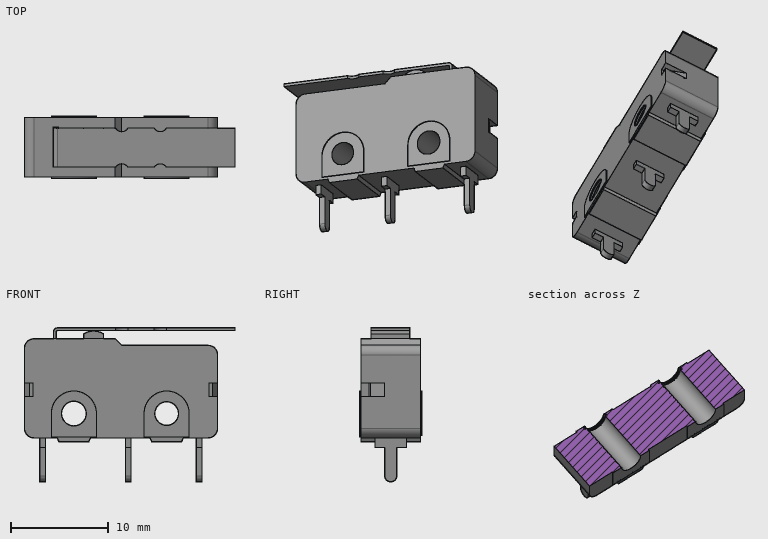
import cadquery as cq
import math

HOUSING_LENGTH = 19.8
HOUSING_DEPTH = 6.13
HOUSING_HEIGHT = 10.17
SHOULDER_DROP = 0.67
SHOULDER_X = 9.3
CORNER_RADIUS = 1.0
HALF_DEPTH = HOUSING_DEPTH / 2

FIRST_HOLE_X = 5.08
HOLE_SPACING = 9.5
HOLE_Z = 2.5
FIRST_HOLE_DIAMETER = 2.5
SECOND_HOLE_DIAMETER = 2.4
BOSS_RADIUS = 2.31
GROOVE_WIDTH = 0.22
GROOVE_EXTRA_RADIUS = 0.22
BOSS_HEIGHT = 0.13
FRONT_BOSS_BOTTOM = 0.13
BACK_BOSS_BOTTOM = 0.25
FOOT_HEIGHT = 0.39
FOOT_TOP_HALF_WIDTH = 1.7
FOOT_BOTTOM_HALF_WIDTH = 1.53

NOTCH_BOTTOM = 4.23
NOTCH_HEIGHT = 1.38
NOTCH_DEPTH = 0.86
RAMP_DEPTH = 0.55
RAMP_FRONT_Y = -2.25
LIP_LENGTH = 0.2
RAMP_BACK_Y = -0.63

LEVER_END_X = 21.6
LEVER_TOP = 11.3
LEVER_THICKNESS = 0.3
LEVER_WIDTH = 4.0
LEVER_CENTER_Y = -0.05
LEVER_FRONT = LEVER_CENTER_Y - LEVER_WIDTH / 2
LEVER_BACK = LEVER_CENTER_Y + LEVER_WIDTH / 2
LEVER_LEFT = 2.98
LEVER_BEND_RADIUS = 0.43
EDGE_NOTCHES_X = (9.98, 13.93)
EDGE_NOTCH_WIDTH = 1.25
EDGE_NOTCH_DEPTH = 0.35

SLOT_LEFT = 2.92
SLOT_RIGHT = 3.5
SLOT_DEPTH = 0.65
SLOT_CLEARANCE = 0.13

PLUNGER_X = 7.1
PLUNGER_LENGTH = 2.05
PLUNGER_GAP = 0.02
PLUNGER_TOP = LEVER_TOP - LEVER_THICKNESS - PLUNGER_GAP
PLUNGER_TOP_RADIUS = 3.7 / 2

TERMINAL_CENTERS_X = (1.88, 10.65, 17.9)
TERMINAL_THICKNESS = 0.6
TERMINAL_TIP = -4.5
TERMINAL_SHOULDER = -1.0
TERMINAL_SHOULDER_WIDTH = 3.25
TERMINAL_WIDTH = 1.25

OVERLAP = 0.22


def extrude_along_y(outline, y_front, y_back):
    """Extrude an outline drawn in X and Z between two Y planes."""
    return outline.extrude(y_front - y_back).translate((0, y_front, 0))


def make_housing():
    shoulder_z = HOUSING_HEIGHT - SHOULDER_DROP
    outline = cq.Workplane("XZ").polyline([
        (0, 0),
        (HOUSING_LENGTH, 0),
        (HOUSING_LENGTH, shoulder_z),
        (SHOULDER_X + SHOULDER_DROP, shoulder_z),
        (SHOULDER_X, HOUSING_HEIGHT),
        (0, HOUSING_HEIGHT),
    ]).close()
    block = extrude_along_y(outline, -HALF_DEPTH, HALF_DEPTH)
    end_corners = block.edges("|Y and (<X or >X)")
    return end_corners.fillet(CORNER_RADIUS)


def make_boss(x, bottom, y_front, y_back):
    outline = (
        cq.Workplane("XZ")
        .moveTo(x - BOSS_RADIUS, bottom)
        .lineTo(x + BOSS_RADIUS, bottom)
        .lineTo(x + BOSS_RADIUS, HOLE_Z)
        .threePointArc((x, HOLE_Z + BOSS_RADIUS), (x - BOSS_RADIUS, HOLE_Z))
        .close()
    )
    return extrude_along_y(outline, y_front, y_back)


def make_foot(x):
    outline = cq.Workplane("XZ").polyline([
        (x - FOOT_TOP_HALF_WIDTH, OVERLAP),
        (x - FOOT_TOP_HALF_WIDTH, 0),
        (x - FOOT_BOTTOM_HALF_WIDTH, -FOOT_HEIGHT),
        (x + FOOT_BOTTOM_HALF_WIDTH, -FOOT_HEIGHT),
        (x + FOOT_TOP_HALF_WIDTH, 0),
        (x + FOOT_TOP_HALF_WIDTH, OVERLAP),
    ]).close()
    return extrude_along_y(outline, -HALF_DEPTH, HALF_DEPTH)


def make_snap_notch():
    """Notch in the left end: a ramp from the back, then a deeper step open to the front."""
    step_y = RAMP_FRONT_Y + LIP_LENGTH
    return (
        cq.Workplane("XY", origin=(0, 0, NOTCH_BOTTOM))
        .polyline([
            (0, RAMP_BACK_Y),
            (RAMP_DEPTH, RAMP_FRONT_Y),
            (RAMP_DEPTH, step_y),
            (NOTCH_DEPTH, step_y),
            (NOTCH_DEPTH, -HALF_DEPTH),
            (0, -HALF_DEPTH),
        ])
        .close()
        .extrude(NOTCH_HEIGHT)
    )


def make_lever_slot():
    slot_length = SLOT_RIGHT - SLOT_LEFT
    slot_width = LEVER_WIDTH + SLOT_CLEARANCE
    slot = cq.Workplane("XY").box(slot_length, slot_width, SLOT_DEPTH, centered=False)
    return slot.translate((SLOT_LEFT, LEVER_FRONT, HOUSING_HEIGHT - SLOT_DEPTH))


def make_lever():
    leg_bottom = HOUSING_HEIGHT - SLOT_DEPTH - OVERLAP
    underside = LEVER_TOP - LEVER_THICKNESS
    leg_right = LEVER_LEFT + LEVER_THICKNESS
    inner_radius = LEVER_BEND_RADIUS - LEVER_THICKNESS
    outline = (
        cq.Workplane("XZ")
        .moveTo(LEVER_LEFT, leg_bottom)
        .lineTo(LEVER_LEFT, LEVER_TOP - LEVER_BEND_RADIUS)
        .radiusArc((LEVER_LEFT + LEVER_BEND_RADIUS, LEVER_TOP), LEVER_BEND_RADIUS)
        .lineTo(LEVER_END_X, LEVER_TOP)
        .lineTo(LEVER_END_X, underside)
        .lineTo(leg_right + inner_radius, underside)
        .radiusArc((leg_right, underside - inner_radius), -inner_radius)
        .lineTo(leg_right, leg_bottom)
        .close()
    )
    lever = extrude_along_y(outline, LEVER_FRONT, LEVER_BACK)

    half_chord = EDGE_NOTCH_WIDTH / 2
    radius = (half_chord ** 2 + EDGE_NOTCH_DEPTH ** 2) / (2 * EDGE_NOTCH_DEPTH)
    center_overhang = radius - EDGE_NOTCH_DEPTH
    circle_rows_y = (LEVER_FRONT - center_overhang, LEVER_BACK + center_overhang)
    notch_points = [(x, y) for x in EDGE_NOTCHES_X for y in circle_rows_y]
    notches = (
        cq.Workplane("XY", origin=(0, 0, underside))
        .pushPoints(notch_points)
        .circle(radius)
        .extrude(LEVER_THICKNESS)
    )
    return lever.cut(notches)


def make_plunger():
    half_length = PLUNGER_LENGTH / 2
    crown_height = PLUNGER_TOP_RADIUS - math.sqrt(PLUNGER_TOP_RADIUS ** 2 - half_length ** 2)
    left = PLUNGER_X - half_length
    right = PLUNGER_X + half_length
    side_top = PLUNGER_TOP - crown_height
    outline = (
        cq.Workplane("XZ")
        .moveTo(left, HOUSING_HEIGHT - OVERLAP)
        .lineTo(left, side_top)
        .threePointArc((PLUNGER_X, PLUNGER_TOP), (right, side_top))
        .lineTo(right, HOUSING_HEIGHT - OVERLAP)
        .close()
    )
    return extrude_along_y(outline, LEVER_FRONT, LEVER_BACK)


def make_terminal(x):
    half_shoulder = TERMINAL_SHOULDER_WIDTH / 2
    half_width = TERMINAL_WIDTH / 2
    round_start = TERMINAL_TIP + half_width
    outline = (
        cq.Workplane("YZ", origin=(x - TERMINAL_THICKNESS / 2, 0, 0))
        .moveTo(-half_shoulder, OVERLAP)
        .lineTo(-half_shoulder, TERMINAL_SHOULDER)
        .lineTo(-half_width, TERMINAL_SHOULDER)
        .lineTo(-half_width, round_start)
        .threePointArc((0, TERMINAL_TIP), (half_width, round_start))
        .lineTo(half_width, TERMINAL_SHOULDER)
        .lineTo(half_shoulder, TERMINAL_SHOULDER)
        .lineTo(half_shoulder, OVERLAP)
        .close()
    )
    return outline.extrude(TERMINAL_THICKNESS)


def make_hole(x, diameter):
    """Through hole with a shallow annular groove just below the front boss."""
    reach = HALF_DEPTH + BOSS_HEIGHT
    radius = diameter / 2
    bore_outline = cq.Workplane("XZ").center(x, HOLE_Z).circle(radius)
    bore = extrude_along_y(bore_outline, -reach, reach)
    groove_outline = cq.Workplane("XZ").center(x, HOLE_Z).circle(radius + GROOVE_EXTRA_RADIUS)
    groove = extrude_along_y(groove_outline, -HALF_DEPTH, -HALF_DEPTH + GROOVE_WIDTH)
    return bore.union(groove)


holes = (
    (FIRST_HOLE_X, FIRST_HOLE_DIAMETER),
    (FIRST_HOLE_X + HOLE_SPACING, SECOND_HOLE_DIAMETER),
)

left_notch = make_snap_notch()
right_notch = left_notch.mirror("YZ").translate((HOUSING_LENGTH, 0, 0))
result = make_housing().cut(left_notch).cut(right_notch).cut(make_lever_slot())

for hole_x, hole_diameter in holes:
    result = result.union(make_foot(hole_x))
    result = result.union(
        make_boss(hole_x, FRONT_BOSS_BOTTOM, -HALF_DEPTH - BOSS_HEIGHT, -HALF_DEPTH + OVERLAP)
    )
    result = result.union(
        make_boss(hole_x, BACK_BOSS_BOTTOM, HALF_DEPTH - OVERLAP, HALF_DEPTH + BOSS_HEIGHT)
    )
    result = result.cut(make_hole(hole_x, hole_diameter))

for terminal_x in TERMINAL_CENTERS_X:
    result = result.union(make_terminal(terminal_x))

result = result.union(make_plunger()).union(make_lever())